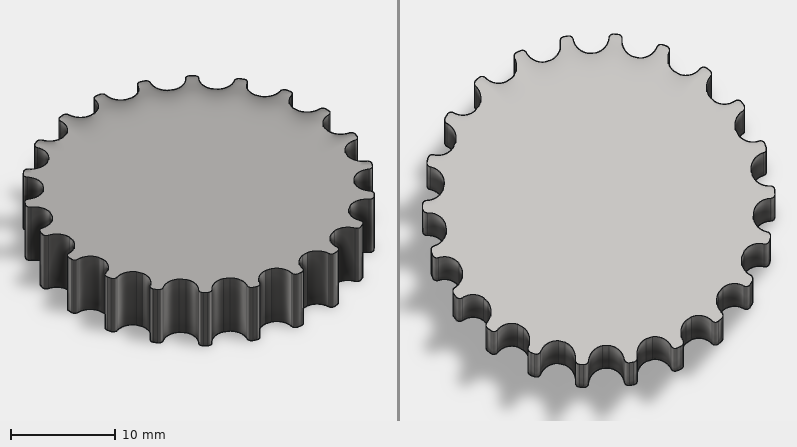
import cadquery as cq
import math

tooth_count = 22
outer_radius = 16.95
thickness = 6.5

root_radius = 14.95
groove_radius = 1.73
groove_center_radius = 16.63
tip_fillet = 0.45

tooth_pitch = 360.0 / tooth_count
first_groove_angle = tooth_pitch / 2


def cylinder(radius):
    return cq.Workplane("XY").circle(radius).extrude(thickness)


def groove_cutters():
    """One round cutter per groove, spaced evenly around the rim."""
    return (
        cq.Workplane("XY")
        .polarArray(groove_center_radius, first_groove_angle, 360, tooth_count)
        .circle(groove_radius)
        .extrude(thickness)
    )


def is_tip_edge(edge):
    """True for the vertical edges where a groove meets the outer cylinder."""
    center = edge.Center()
    return math.hypot(center.x, center.y) > (outer_radius + root_radius) / 2


def round_tips(wheel):
    tip_edges = [edge for edge in wheel.edges("|Z").vals() if is_tip_edge(edge)]
    return wheel.newObject(tip_edges).fillet(tip_fillet)


toothed_disc = cylinder(outer_radius).cut(groove_cutters()).union(cylinder(root_radius))
result = round_tips(toothed_disc)